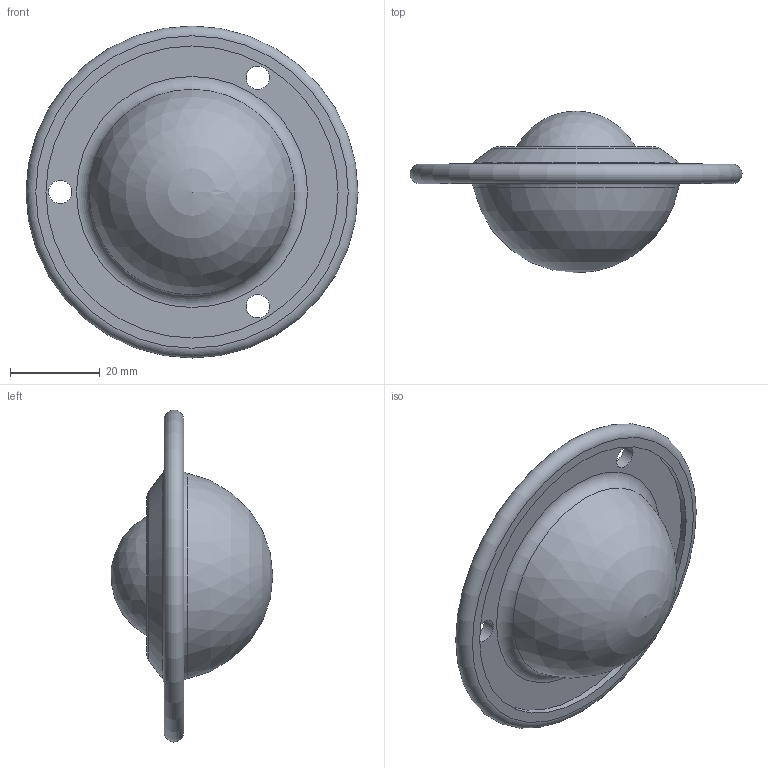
import cadquery as cq
import math


outer_diameter = 73.9
total_depth = 36.09

rim_thickness = 4.35
recess_radius = 32.5
hole_diameter = 5.2
hole_circle_radius = 29.35
hole_count = 3

ball_radius = 15.0
ball_protrusion = 8.0
cap_height = 3.9
cap_top_radius = 18.15
cap_base_radius = 23.5
cap_fillet_radius = 2.2

dome_radius = 23.25
root_fillet_radius = 2.9
root_radius = 25.7

outer_radius = outer_diameter / 2
rim_round_radius = rim_thickness / 2
rim_flat_radius = outer_radius - rim_round_radius
ball_top_y = cap_height + ball_protrusion
ball_center_y = ball_top_y - ball_radius
dome_bottom_y = ball_top_y - total_depth
dome_center_y = dome_bottom_y + dome_radius

center_distance = dome_radius + root_fillet_radius
fillet_drop = math.sqrt(center_distance**2 - root_radius**2)
fillet_center_y = dome_center_y - fillet_drop
floor_y = fillet_center_y + root_fillet_radius
tangent_share = dome_radius / center_distance
tangent_radius = root_radius * tangent_share
tangent_y = dome_center_y - fillet_drop * tangent_share


def dome_point(angle):
    """Point (radius, y) on the dome, angle measured from the plane of its centre to -Y."""
    return (dome_radius * math.cos(angle), dome_center_y - dome_radius * math.sin(angle))


def fillet_point(angle):
    """Point (radius, y) on the root fillet, angle measured from its inward direction."""
    return (
        root_radius - root_fillet_radius * math.cos(angle),
        fillet_center_y + root_fillet_radius * math.sin(angle),
    )


def make_housing():
    """Dome, recessed flange, round rim and sharp-edged cap from one half section."""
    tangent_angle = math.atan2(fillet_drop, root_radius)
    dome_middle = dome_point((tangent_angle + math.pi / 2) / 2)
    fillet_middle = fillet_point((tangent_angle + math.pi / 2) / 2)
    section = (
        cq.Workplane("XY")
        .moveTo(0, dome_bottom_y)
        .threePointArc(dome_middle, (tangent_radius, tangent_y))
        .threePointArc(fillet_middle, (root_radius, floor_y))
        .lineTo(recess_radius, floor_y)
        .lineTo(recess_radius, -rim_thickness)
        .lineTo(rim_flat_radius, -rim_thickness)
        .threePointArc((outer_radius, -rim_round_radius), (rim_flat_radius, 0))
        .lineTo(cap_base_radius, 0)
        .lineTo(cap_top_radius, cap_height)
        .lineTo(0, cap_height)
        .close()
    )
    return section.revolve(360, (0, 0), (0, 1))


def round_cap(housing):
    """Fillet the two edges of the conical cap: its flat top and its root on the flange."""
    tolerance = 1e-4
    cap_radii = (cap_top_radius, cap_base_radius)
    cap_edges = housing.edges("%CIRCLE").filter(
        lambda edge: min(abs(edge.radius() - radius) for radius in cap_radii) < tolerance
    )
    return cap_edges.fillet(cap_fillet_radius)


def make_ball():
    return cq.Workplane("XY").sphere(ball_radius).translate((0, ball_center_y, 0))


def make_mounting_holes():
    """Cylinders through the flange, evenly spaced, the first on the -X side."""
    return (
        cq.Workplane("XZ")
        .polarArray(hole_circle_radius, 180, 360, hole_count)
        .circle(hole_diameter / 2)
        .extrude(rim_thickness)
    )


result = round_cap(make_housing()).union(make_ball()).cut(make_mounting_holes())